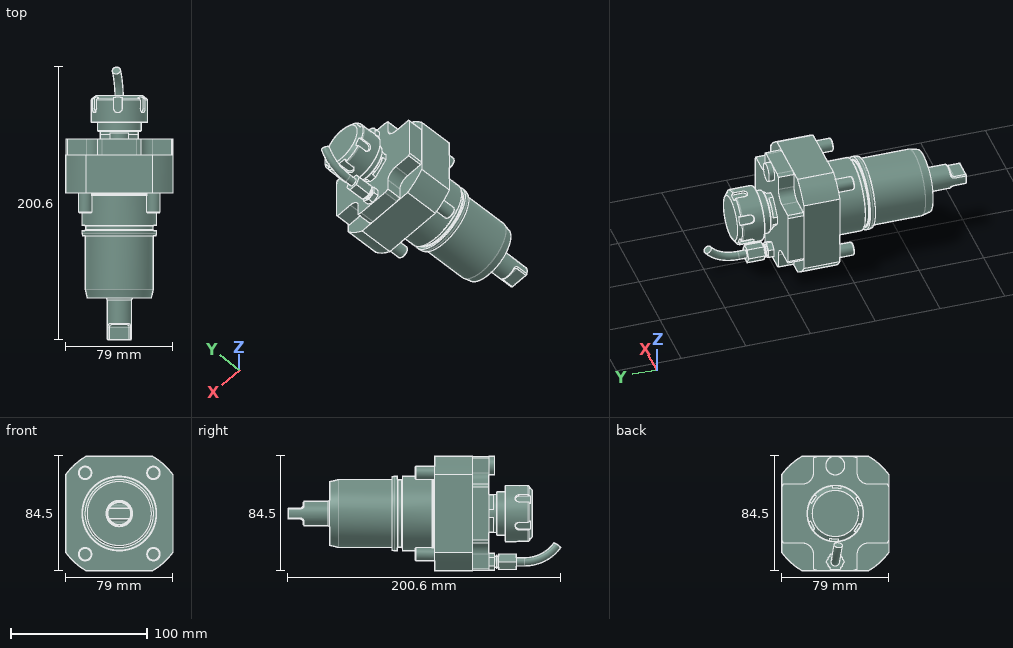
import cadquery as cq
import math


flange_width = 79.0
flange_height = 84.5
flange_corner_radius = 48.7
flange_back = 27.9
housing_back = 40.0
housing_inset = 0.2
housing_corner_radius = 44.0
top_arm_half_width = 16.0
side_arm_half_height = 21.7
pocket_corner_radius = 8.2

pin_diameter = 9.8
pin_length = 14.5
pin_chamfer = 0.6
pin_spacing_x = 50.1
pin_spacing_z = 59.8

shoulder_diameter = 55.0
neck_diameter = 49.7
body_diameter = 50.1
relief_end = 1.8
shoulder_end = 23.7
groove_end = 27.5
neck_corner = 0.6
ring_taper_start = 29.5
ring_end = 31.5
ring_front_diameter = 54.0
taper_start = 70.8
body_end = 77.2
nose_diameter = 47.1

shaft_diameter = 18.0
shaft_base_diameter = 19.5
shaft_base_length = 1.2
shaft_chamfer = 0.6
tang_shoulder = 96.6
tang_tip = 107.9
tang_thickness = 8.2
tang_root_radius = 2.0
tang_side_chamfer = 0.8
tang_end_chamfer = 0.5

spindle_diameter = 28.0
spindle_flats_width = 23.7
spindle_flats_end = 43.1
collar_start = 45.3
collar_diameter = 32.3
collar_chamfer = 0.6
nut_start = 51.7
nut_end = 71.8
nut_diameter = 41.5
nut_edge_length = 3.6
nut_chamfer_length = 2.6
nut_chamfer_diameter = 41.0
nut_face_diameter = 33.9
nut_rear_chamfer = 0.5
slot_count = 6
slot_phase = 93.0
slot_width = 6.5
slot_floor_radius = 18.6
slot_end = 59.2

plug_height = 35.3
fitting_depth = 35.5
plug_diameter = 13.8
plug_end = 44.1
base_hex_across_corners = 12.6
fitting_neck_diameter = 8.2
washer_diameter = 10.0
washer_start = 45.5
washer_end = 46.0
fitting_hex_start = 47.0
fitting_hex_end = 60.0
fitting_hex_across_flats = 11.6

hose_diameter = 6.2
hose_bend_start = 66.2
hose_bend_radius = 29.3
hose_bend_angle = 54.8
hose_tilt = 10.0


def disc(diameter, start, end):
    """Cylinder on the Y axis from y = start to y = end."""
    return cq.Workplane("XZ", origin=(0, start, 0)).circle(diameter / 2).extrude(start - end)


def hexagon(across_corners, start, end, turn):
    """Hexagonal bar on the Y axis; turn = 0 puts a corner on the X axis."""
    bar = cq.Workplane("XZ", origin=(0, start, 0)).polygon(6, across_corners).extrude(start - end)
    return bar.rotate((0, 0, 0), (0, 1, 0), turn)


def rounded_plate(width, height, corner_radius, start, end):
    """Rectangular plate with its corners cut off by a circle."""
    plate = cq.Workplane("XZ", origin=(0, start, 0)).rect(width, height)
    return plate.extrude(start - end).intersect(disc(2 * corner_radius, start, end))


def make_housing():
    housing = rounded_plate(
        flange_width - 2 * housing_inset,
        flange_height - 2 * housing_inset,
        housing_corner_radius,
        flange_back,
        housing_back,
    )
    depth = housing_back - flange_back
    pocket = (
        cq.Workplane("XY")
        .box(flange_width, depth, flange_height, centered=(False, False, False))
        .edges("|Y and <X and <Z")
        .fillet(pocket_corner_radius)
        .translate((top_arm_half_width, flange_back, side_arm_half_height))
    )
    upper_pockets = pocket.union(pocket.mirror("YZ"))
    return housing.cut(upper_pockets).cut(upper_pockets.mirror("XY"))


def make_pins():
    return (
        cq.Workplane("XZ")
        .rect(pin_spacing_x, pin_spacing_z, forConstruction=True)
        .vertices()
        .circle(pin_diameter / 2)
        .extrude(pin_length)
        .faces("<Y")
        .chamfer(pin_chamfer)
    )


def make_shank():
    profile = [
        (0, 0),
        (neck_diameter / 2 + neck_corner, 0),
        (neck_diameter / 2, -neck_corner),
        (neck_diameter / 2, -relief_end + neck_corner),
        (neck_diameter / 2 + neck_corner, -relief_end),
        (shoulder_diameter / 2, -relief_end),
        (shoulder_diameter / 2, -shoulder_end),
        (neck_diameter / 2 + neck_corner, -shoulder_end),
        (neck_diameter / 2, -shoulder_end - neck_corner),
        (neck_diameter / 2, -groove_end + neck_corner),
        (neck_diameter / 2 + neck_corner, -groove_end),
        (shoulder_diameter / 2, -groove_end),
        (shoulder_diameter / 2, -ring_taper_start),
        (ring_front_diameter / 2, -ring_end),
        (body_diameter / 2, -ring_end),
        (body_diameter / 2, -taper_start),
        (nose_diameter / 2, -body_end),
        (shaft_base_diameter / 2, -body_end),
        (shaft_diameter / 2, -body_end - shaft_base_length),
        (shaft_diameter / 2, -tang_tip + shaft_chamfer),
        (shaft_diameter / 2 - shaft_chamfer, -tang_tip),
        (0, -tang_tip),
    ]
    shank = cq.Workplane("XY").polyline(profile).close().revolve(360, (0, 0, 0), (0, 1, 0))
    tang_flat_corners = (
        (-shaft_diameter, -tang_tip, -shaft_diameter),
        (shaft_diameter, -tang_shoulder, shaft_diameter),
    )
    tang_tip_corners = (
        (-shaft_diameter, -tang_tip - shaft_chamfer, -shaft_diameter),
        (shaft_diameter, -tang_tip + shaft_chamfer, shaft_diameter),
    )
    flat_length = tang_tip - tang_shoulder
    flat = (
        cq.Workplane("XY")
        .box(shaft_diameter, flat_length, shaft_diameter, centered=(True, False, False))
        .edges("|X and >Y and <Z")
        .fillet(tang_root_radius)
        .translate((0, -tang_tip, tang_thickness / 2))
    )
    shank = shank.cut(flat).cut(flat.mirror("XY"))
    shank = shank.edges(cq.selectors.BoxSelector(*tang_flat_corners)).edges("|Y").chamfer(tang_side_chamfer)
    return shank.edges(cq.selectors.BoxSelector(*tang_tip_corners)).edges("|X").chamfer(tang_end_chamfer)


def make_collet_nut():
    nut_radius = nut_diameter / 2
    profile = [
        (0, nut_start),
        (nut_radius - nut_rear_chamfer, nut_start),
        (nut_radius, nut_start + nut_rear_chamfer),
        (nut_radius, nut_end - nut_edge_length),
        (nut_chamfer_diameter / 2, nut_end - nut_chamfer_length),
        (nut_face_diameter / 2, nut_end),
        (0, nut_end),
    ]
    nut = cq.Workplane("XY").polyline(profile).close().revolve(360, (0, 0, 0), (0, 1, 0))
    slot_length = 2 * (nut_end - slot_end)
    slot = (
        cq.Workplane("XY", origin=(0, nut_end, slot_floor_radius))
        .slot2D(slot_length, slot_width, 90)
        .extrude(nut_radius)
    )
    for index in range(slot_count):
        angle = slot_phase + index * 360 / slot_count
        nut = nut.cut(slot.rotate((0, 0, 0), (0, 1, 0), 90 - angle))
    return nut


def make_spindle():
    spindle = disc(spindle_diameter, housing_back, collar_start)
    square = (
        cq.Workplane("XZ", origin=(0, housing_back, 0))
        .rect(spindle_flats_width, spindle_flats_width)
        .extrude(housing_back - spindle_flats_end)
        .rotate((0, 0, 0), (0, 1, 0), 45)
    )
    wrench_flats = disc(spindle_diameter, housing_back, spindle_flats_end).cut(square)
    collar = disc(collar_diameter, collar_start, nut_start).faces("<Y").chamfer(collar_chamfer)
    return spindle.cut(wrench_flats).union(collar).union(make_collet_nut())


def make_hose():
    bend = math.radians(hose_bend_angle)
    tilt = math.radians(hose_tilt)
    bend_plane = cq.Plane(
        origin=(0, fitting_hex_end, 0),
        xDir=(0, 1, 0),
        normal=(math.cos(tilt), 0, math.sin(tilt)),
    )
    straight = hose_bend_start - fitting_hex_end

    def bend_point(angle):
        return (
            straight + hose_bend_radius * math.sin(angle),
            hose_bend_radius * (1 - math.cos(angle)),
        )

    path = (
        cq.Workplane(bend_plane)
        .lineTo(straight, 0)
        .threePointArc(bend_point(bend / 2), bend_point(bend))
    )
    return cq.Workplane("XZ", origin=(0, fitting_hex_end, 0)).circle(hose_diameter / 2).sweep(path)


def make_coolant_fitting():
    nut_across_corners = fitting_hex_across_flats / math.cos(math.pi / 6)
    fitting = (
        hexagon(base_hex_across_corners, housing_back, plug_end, 30)
        .union(disc(fitting_neck_diameter, plug_end, fitting_hex_start))
        .union(disc(washer_diameter, washer_start, washer_end))
        .union(hexagon(nut_across_corners, fitting_hex_start, fitting_hex_end, 0))
        .union(make_hose())
    )
    return fitting.translate((0, 0, -fitting_depth))


plug = disc(plug_diameter, housing_back, plug_end).translate((0, 0, plug_height))

result = (
    rounded_plate(flange_width, flange_height, flange_corner_radius, 0, flange_back)
    .union(make_housing())
    .union(make_pins())
    .union(make_shank())
    .union(make_spindle())
    .union(plug)
    .union(make_coolant_fitting())
)